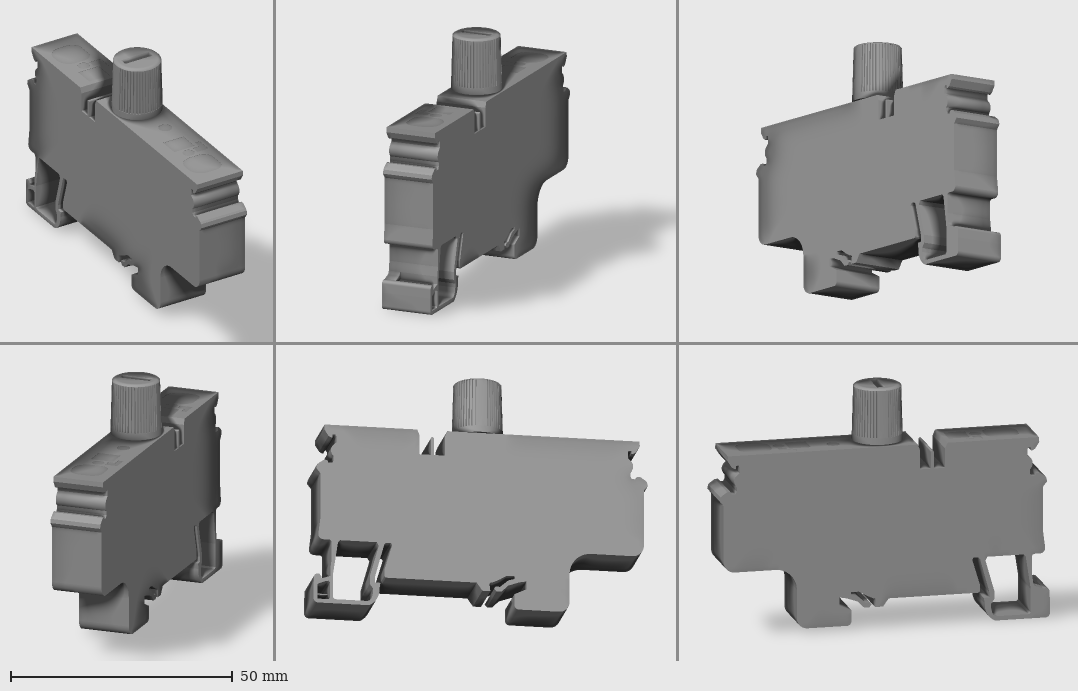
import cadquery as cq
import math

length = 76.65
thickness = 12.0
total_height = 55.6
hook_tip_x = 0.6
axis_x = (length + hook_tip_x) / 2
mid_y = thickness / 2

top_z = 42.2
shoulder_z = 15.0
overlap_z = shoulder_z + 0.8
rail_z = 6.75
claw_z = 4.9
hook_foot_z = 0.9
side_x = 1.5
hook_left_x = 46.1
hook_right_x = 58.7
hook_fillet = 2.45
hook_toe_fillet = 1.0
shoulder_fillet = 5.0
body_fillet = 2.6

slot_left_x = 24.3
slot_right_x = 30.1
slot_floor_z = 36.4
slot_lead_width = 0.5
slot_lead_height = 1.3
fin_left_x = 26.9
fin_right_x = 27.6
fin_top_z = 40.6

foot_pocket_depth = 9.2
foot_wall = 0.85
foot_rib_z = 2.8
foot_rib_thickness = 0.2
foot_rib_setback = 3.1
foot_pocket_end_x = 3.75
foot_groove_end_x = 3.8
foot_curve_top_z = 8.2

mark_depth = 0.1

neck_diameter = 10.0
neck_height = 0.4
flange_diameter = 11.5
flange_height = 1.5
grip_top_diameter = 10.9
knob_face_diameter = 9.0
rim_height = 0.45
groove_pitch_count = 50
groove_depth = 0.3
groove_mouth = 0.3
groove_floor = 0.2
plain_strip_half_angle = 10.0
driver_slot_width = 1.85
driver_slot_length = 7.35
driver_slot_depth = 0.5
driver_slot_inset = 0.45


def mirrored(point):
    """Reflect an (x, z) point about the middle of the upper body."""
    x, z = point
    return (2 * axis_x - x, z)


def extrude_y(outline, depth):
    """Extrude an XZ outline from the front face towards +Y."""
    return outline.extrude(-depth)


def box(x0, x1, y0, y1, z0, z1):
    """Axis-aligned block between the given limits."""
    return cq.Workplane("XY").box(x1 - x0, y1 - y0, z1 - z0, centered=False).translate((x0, y0, z0))


def line_through(path, points):
    """Continue a path with straight runs to each point in turn."""
    for point in points:
        path = path.lineTo(*point)
    return path


lip = [(2.5, top_z), (2.45, 41.1), (3.45, 39.55), (4.0, 39.25)]
clip_groove = [(4.4, 39.25), (4.4, 39.9), (5.0, 39.9), (5.2, 39.55), (5.2, 38.2)]
bump_start = (4.8, 37.8)
bump_peak = (4.0, 36.3)
bump_end = (4.6, 34.9)
hook = [
    (4.6, 33.9), (4.3, 33.3), (3.4, 33.3), (3.15, 33.9), (2.4, 33.9), (1.2, 33.1), (0.85, 32.7),
    (hook_tip_x, 31.8), (side_x, 30.65),
]


def upper_body():
    """Full-length upper body with a marker-clip edge at each end."""
    flare_x = 1.1
    flare_top_z = 19.85
    flare_fillet = 1.2
    right_x = mirrored((side_x, 0))[0]
    outline = cq.Workplane("XZ").moveTo(*lip[0])
    outline = line_through(outline, lip[1:] + clip_groove + [bump_start])
    outline = outline.threePointArc(bump_peak, bump_end)
    outline = line_through(outline, hook)
    outline = (
        outline
        .lineTo(side_x, flare_top_z)
        .lineTo(flare_x, shoulder_z + flare_fillet)
        .radiusArc((flare_x + flare_fillet, shoulder_z), -flare_fillet)
        .lineTo(right_x - body_fillet, shoulder_z)
        .radiusArc((right_x, shoulder_z + body_fillet), -body_fillet)
    )
    outline = line_through(outline, [mirrored(point) for point in reversed(hook)])
    outline = outline.lineTo(*mirrored(bump_end)).threePointArc(mirrored(bump_peak), mirrored(bump_start))
    outline = line_through(outline, [mirrored(point) for point in reversed(lip + clip_groove)])
    return extrude_y(outline.close(), thickness)


def rail_block():
    """Lower centre block with the rail stop, the spring tongue and the fixed rail hook."""
    rail_stop = [
        (18.0, 14.6), (16.25, 8.65), (16.25, rail_z + 0.3), (16.55, rail_z), (37.4, rail_z),
        (38.7, claw_z), (40.55, claw_z),
    ]
    tongue = [
        (40.3, 6.7), (40.6, 7.0), (41.0, 7.0), (42.6, 7.75), (44.3, 8.7), (46.15, 8.7),
        (46.15, 8.1), (44.6, 7.7), (42.8, 6.05), (41.7, 6.05), (41.4, 5.5), (41.9, claw_z),
        (43.1, claw_z), (44.6, 6.45), (47.2, 7.35), (48.8, 7.7), (48.8, 5.8), (hook_left_x, 4.5),
    ]
    outline = line_through(cq.Workplane("XZ").moveTo(17.25, overlap_z), rail_stop + tongue)
    outline = (
        outline
        .lineTo(hook_left_x, hook_foot_z + hook_toe_fillet)
        .radiusArc((hook_left_x + hook_toe_fillet, hook_foot_z), -hook_toe_fillet)
        .lineTo(hook_right_x - hook_fillet, hook_foot_z)
        .radiusArc((hook_right_x, hook_foot_z + hook_fillet), -hook_fillet)
        .lineTo(hook_right_x, shoulder_z - shoulder_fillet)
        .radiusArc((hook_right_x + shoulder_fillet, shoulder_z), shoulder_fillet)
        .lineTo(hook_right_x + shoulder_fillet, overlap_z)
        .close()
    )
    return extrude_y(outline, thickness)


def spring_foot():
    """Looped foot hanging below the left end of the body."""
    stem_x = 4.15
    stem_fillet = 0.6
    nose_x = 0.1
    nose_top_z = 6.8
    nose_fillet = 0.8
    heel_fillet = 1.0
    outline = (
        cq.Workplane("XZ")
        .moveTo(stem_x - stem_fillet, overlap_z)
        .lineTo(stem_x - stem_fillet, shoulder_z)
        .radiusArc((stem_x, shoulder_z - stem_fillet), stem_fillet)
        .lineTo(stem_x, 10.4)
        .lineTo(foot_groove_end_x, foot_curve_top_z)
        .threePointArc((3.6, 7.75), (3.1, 7.35))
        .lineTo(1.5, nose_top_z)
        .lineTo(nose_x + nose_fillet, nose_top_z)
        .radiusArc((nose_x, nose_top_z - nose_fillet), -nose_fillet)
        .lineTo(0, 4.1)
        .lineTo(0, heel_fillet)
        .radiusArc((heel_fillet, 0), -heel_fillet)
        .lineTo(12.7, 0)
        .threePointArc((14.3, 1.4), (15.1, 4.1))
        .lineTo(15.3, 5.45)
        .lineTo(14.0, 5.5)
        .lineTo(14.0, 6.7)
        .lineTo(16.1, 14.2)
        .threePointArc((16.4, 14.8), (16.9, shoulder_z))
        .lineTo(16.9, overlap_z)
        .close()
    )
    window = (
        cq.Workplane("XZ")
        .moveTo(6.05, shoulder_z)
        .lineTo(5.6, 14.5)
        .lineTo(4.45, 6.9)
        .lineTo(4.45, 1.4)
        .lineTo(4.8, 1.0)
        .lineTo(12.2, 1.0)
        .threePointArc((12.95, 1.3), (13.4, 2.1))
        .lineTo(13.65, 3.1)
        .lineTo(13.65, 4.0)
        .lineTo(12.9, 5.05)
        .lineTo(12.9, 6.9)
        .lineTo(14.95, 14.2)
        .lineTo(14.5, shoulder_z)
        .close()
    )
    return extrude_y(outline, thickness).cut(extrude_y(window, thickness))


def foot_pocket():
    """Blind pocket in the front of the foot, crossed by a thin rib set back from the face."""
    outline = cq.Workplane("XZ").polyline([
        (foot_wall, 0.9), (3.45, 0.9), (foot_pocket_end_x, 1.2), (foot_pocket_end_x, 4.9), (3.4, 5.3),
        (2.45, 5.05), (foot_wall, 4.4),
    ]).close()
    rib = box(
        0, foot_pocket_end_x, foot_rib_setback, foot_pocket_depth,
        foot_rib_z, foot_rib_z + foot_rib_thickness,
    )
    return extrude_y(outline, foot_pocket_depth).cut(rib)


def foot_groove():
    """Label groove along the top of the foot, behind its rounded nose."""
    outline = cq.Workplane("XZ").polyline([
        (1.8, 5.75), (foot_groove_end_x, 6.45), (foot_groove_end_x, foot_curve_top_z),
        (1.3, foot_curve_top_z), (1.3, 6.8), (1.8, 6.3),
    ]).close()
    return extrude_y(outline, foot_pocket_depth)


def bridge_slot():
    """Slot across the top with flared entry edges and a thin fin left standing in it."""
    lead_z = top_z - slot_lead_height
    fin_radius = (fin_right_x - fin_left_x) / 2
    outline = cq.Workplane("XZ").polyline([
        (slot_left_x - slot_lead_width, top_z), (slot_left_x, lead_z), (slot_left_x, slot_floor_z),
        (slot_right_x, slot_floor_z), (slot_right_x, lead_z), (slot_right_x + slot_lead_width, top_z),
    ]).close()
    fin = (
        cq.Workplane("XZ")
        .moveTo(fin_left_x, slot_floor_z)
        .lineTo(fin_left_x, fin_top_z - fin_radius)
        .radiusArc((fin_right_x, fin_top_z - fin_radius), fin_radius)
        .lineTo(fin_right_x, slot_floor_z)
        .close()
    )
    return extrude_y(outline, thickness).cut(extrude_y(fin, thickness))


def slot_floor_marks():
    """Shallow contact windows in the slot floor, on both sides of the fin."""
    window_spans_x = ((slot_left_x, fin_left_x), (fin_right_x, slot_right_x))
    window_spans_y = ((1.1, 5.45), (7.05, 11.4))
    marks = cq.Workplane("XY")
    for x0, x1 in window_spans_x:
        for y0, y1 in window_spans_y:
            marks = marks.add(box(x0, x1, y0, y1, slot_floor_z - mark_depth, slot_floor_z))
    return marks.combine()


def top_marks():
    """Shallow recesses in the top: entry, test point, release and latch at each end, one indicator."""
    plane = cq.Workplane("XY", origin=(0, 0, top_z - mark_depth))
    entry_width = 7.75
    entry_length = 7.8
    entry_back_fillet = 2.45
    entry_front_fillet = 3.15
    test_point_diameter = 2.75
    release_width = 4.9
    release_length = 5.4
    indicator_diameter = 3.1
    entry = (
        plane.center(10.0, 5.7).rect(entry_width, entry_length).extrude(mark_depth)
        .edges("|Z and >Y").fillet(entry_back_fillet)
        .edges("|Z and <Y").fillet(entry_front_fillet)
    )
    test_point = plane.center(15.8, 5.75).circle(test_point_diameter / 2).extrude(mark_depth)
    release = plane.center(20.15, 5.8).rect(release_width, release_length).extrude(mark_depth)
    latch = plane.polyline([
        (15.1, 7.7), (17.0, 7.7), (17.0, 9.35), (18.9, 9.35), (18.9, 10.6), (15.1, 10.6),
    ]).close().extrude(mark_depth)
    left_marks = entry.add(test_point).add(release).add(latch).combine()
    right_marks = left_marks.mirror("YZ", (axis_x, 0, 0))
    indicator = plane.center(49.1, 7.05).circle(indicator_diameter / 2).extrude(mark_depth)
    return left_marks.add(right_marks).add(indicator).combine()


def grip_groove(radius_bottom, radius_top, z0, z1):
    """One trapezoid groove that follows the taper of the grip, on the +X side of the Z axis."""
    half_floor = groove_floor / 2
    half_outer = groove_mouth - half_floor

    def section(radius, z):
        return cq.Wire.makePolygon([
            cq.Vector(radius - groove_depth, -half_floor, z),
            cq.Vector(radius - groove_depth, half_floor, z),
            cq.Vector(radius + groove_depth, half_outer, z),
            cq.Vector(radius + groove_depth, -half_outer, z),
        ], close=True)

    return cq.Solid.makeLoft([section(radius_bottom, z0), section(radius_top, z1)], True)


def knob():
    """Tapered grooved fuse knob on a neck, with a driver slot in its face."""
    flange_z = top_z + neck_height
    grip_z = flange_z + flange_height
    rim_z = total_height - rim_height
    flange_radius = flange_diameter / 2
    face_radius = knob_face_diameter / 2
    grip_radius = grip_top_diameter / 2
    rim_width = grip_radius - face_radius
    rim_radius = (rim_width**2 + rim_height**2) / (2 * rim_height)
    neck_root_z = top_z - 0.8
    profile = (
        cq.Workplane("XZ")
        .moveTo(0, neck_root_z)
        .lineTo(neck_diameter / 2, neck_root_z)
        .lineTo(neck_diameter / 2, flange_z)
        .lineTo(flange_radius, flange_z)
        .lineTo(flange_radius, grip_z)
        .lineTo(grip_radius, rim_z)
        .radiusArc((face_radius, total_height), -rim_radius)
        .lineTo(0, total_height)
        .close()
    )
    body = profile.revolve(360, (0, 0, 0), (0, 1, 0))

    groove = grip_groove(flange_radius, grip_radius, grip_z, rim_z)
    groove_pitch = 360 / groove_pitch_count
    grooves = []
    for index in range(groove_pitch_count):
        angle = 90 + index * groove_pitch
        angle_from_y_axis = abs(angle % 180 - 90)
        if angle_from_y_axis > plain_strip_half_angle:
            grooves.append(groove.rotate(cq.Vector(0, 0, 0), cq.Vector(0, 0, 1), angle))
    body = body.cut(cq.Workplane(obj=cq.Compound.makeCompound(grooves)))

    wall_lean = math.degrees(math.atan(driver_slot_inset / driver_slot_depth))
    driver_slot = (
        cq.Workplane("XY", origin=(0, 0, total_height))
        .rect(driver_slot_width, driver_slot_length)
        .extrude(-driver_slot_depth, taper=wall_lean)
    )
    return body.cut(driver_slot).translate((axis_x, mid_y, 0))


housing = upper_body().union(rail_block()).union(spring_foot())
housing = housing.cut(foot_pocket()).cut(foot_groove())
housing = housing.cut(bridge_slot()).cut(slot_floor_marks()).cut(top_marks())
result = housing.union(knob())